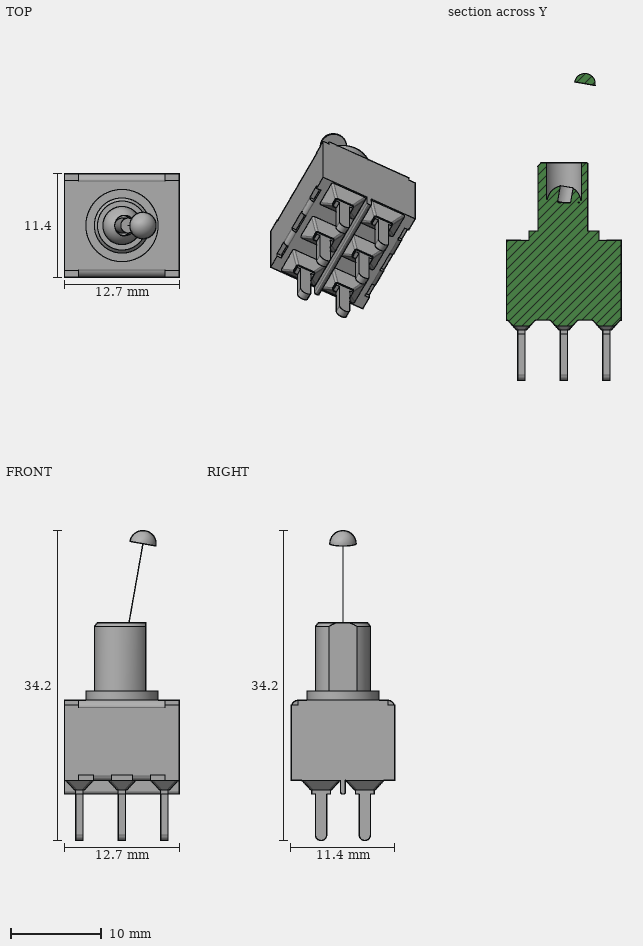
import cadquery as cq
import math


body_length = 12.7
body_width = 11.43
overall_height = 34.22

shoulder_bottom = 5.15
body_bottom = 6.65
body_top = 15.5
flange_top = 16.53
bushing_top = 24.05

end_block_length = 1.57
frame_thickness = 0.5
frame_edge_radius = 0.82
end_block_ledge = 0.75
frame_panel_bottom = 7.25
tab_length = 1.95
tab_spacing = 4.3

rib_width = 0.55
rib_edge_radius = 0.2

terminal_pitch_x = 4.7
terminal_pitch_y = 4.83
terminal_thickness = 0.82
terminal_width = 1.25
shoulder_width = 2.1
pad_length = 3.05
pad_width = 4.25
pad_height = 1.05
pad_inset = 1.0
pad_corner_radius = 0.3

flange_diameter = 7.97
bushing_diameter = 6.1
bushing_flat_x = 2.65
bushing_chamfer_width = 0.35
bushing_chamfer_height = 0.4
bore_diameter = 4.2

lever_tilt = 10.0
tip_radius = 1.47
tip_distance = 13.3
stub_diameter = 1.65
stub_end_distance = 3.9
pocket_diameter = 2.25
core_diameter = 0.05

tilt = math.radians(lever_tilt)
pivot_z = overall_height - tip_radius - tip_distance * math.cos(tilt)


def box(length, width, bottom, top, x=0, y=0):
    """Upright box centred on (x, y) between two Z levels."""
    base = cq.Workplane("XY", origin=(x, y, bottom))
    return base.rect(length, width).extrude(top - bottom)


def make_housing():
    frame_length = body_length - 2 * end_block_length
    core_width = body_width - 2 * end_block_ledge
    end_block_top = body_top - frame_thickness

    housing = box(body_length, body_width, body_bottom, end_block_top)
    housing = housing.union(box(body_length, core_width, body_bottom, body_top))

    frame = box(frame_length, body_width, body_bottom, body_top).edges("|X and >Z").fillet(frame_edge_radius)
    middle_space = box(frame_length, body_width, body_bottom, body_top)
    housing = housing.cut(middle_space).union(frame)

    for side in (-1, 1):
        recess_y = side * (body_width - frame_thickness) / 2
        housing = housing.cut(box(frame_length, frame_thickness, body_bottom, frame_panel_bottom, y=recess_y))
        outer_edge = "|X and <Z and " + (">Y" if side > 0 else "<Y")
        for tab_x in (-tab_spacing / 2, tab_spacing / 2):
            tab_width = 2 * frame_thickness
            tab_y = side * (body_width - tab_width) / 2
            tab = box(tab_length, tab_width, body_bottom, frame_panel_bottom, tab_x, tab_y)
            housing = housing.union(tab.edges(outer_edge).fillet(frame_thickness))
    return housing


def make_rib():
    rib = box(body_length, rib_width, shoulder_bottom, body_bottom)
    return rib.edges("|X and <Z").fillet(rib_edge_radius)


def make_terminal(x, y):
    """Flat pin with a round tip and a shoulder, under a tapered pad with rounded corners."""
    tip_round = terminal_width / 2
    pad_bottom = body_bottom - pad_height
    pin = (
        cq.Workplane("YZ", origin=(x - terminal_thickness / 2, y, 0))
        .moveTo(-tip_round, pad_bottom)
        .lineTo(-tip_round, tip_round)
        .threePointArc((0, 0), (tip_round, tip_round))
        .lineTo(tip_round, pad_bottom)
        .close()
        .extrude(terminal_thickness)
    )
    shoulder = box(terminal_thickness, shoulder_width, shoulder_bottom, pad_bottom, x, y)
    pad = (
        cq.Workplane("XY", origin=(x, y, pad_bottom))
        .rect(pad_length - 2 * pad_inset, pad_width - 2 * pad_inset)
        .workplane(offset=pad_height)
        .rect(pad_length, pad_width)
        .loft()
        .edges("not(|X or |Y)")
        .fillet(pad_corner_radius)
    )
    return pin.union(shoulder).union(pad)


def make_bushing():
    """Flanged tube with a flat on +X and a blind bore down to the lever pivot."""
    flange = cq.Workplane("XY", origin=(0, 0, body_top)).circle(flange_diameter / 2).extrude(flange_top - body_top)
    radius = bushing_diameter / 2
    tube = (
        cq.Workplane("XZ")
        .moveTo(0, flange_top)
        .lineTo(radius, flange_top)
        .lineTo(radius, bushing_top - bushing_chamfer_height)
        .lineTo(radius - bushing_chamfer_width, bushing_top)
        .lineTo(0, bushing_top)
        .close()
        .revolve(360, (0, 0, 0), (0, 1, 0))
    )
    beyond_flat = box(radius, bushing_diameter, flange_top, bushing_top, bushing_flat_x + radius / 2)
    bore = cq.Workplane("XY", origin=(0, 0, pivot_z)).circle(bore_diameter / 2).extrude(bushing_top - pivot_z)
    return flange.union(tube).cut(beyond_flat).cut(bore)


def make_lever():
    """Ball with a stub in a flat-floored round pocket, and the tip, tilted towards +X about the pivot."""
    ball = cq.Workplane("XY").sphere(bore_diameter / 2)
    pocket = cq.Workplane("XY").circle(pocket_diameter / 2).extrude(bore_diameter / 2)
    stub = cq.Workplane("XY").circle(stub_diameter / 2).extrude(stub_end_distance)
    tip = cq.Workplane("XY").sphere(tip_radius, angle1=0).translate((0, 0, tip_distance))
    core = cq.Workplane("XY").circle(core_diameter / 2).extrude(tip_distance + tip_radius / 2)
    lever = ball.cut(pocket).union(stub).union(core).union(tip)
    return lever.rotate((0, 0, 0), (0, 1, 0), lever_tilt).translate((0, 0, pivot_z))


result = make_housing().union(make_rib()).union(make_bushing()).union(make_lever())
for column in (-1, 0, 1):
    for row in (-0.5, 0.5):
        result = result.union(make_terminal(column * terminal_pitch_x, row * terminal_pitch_y))